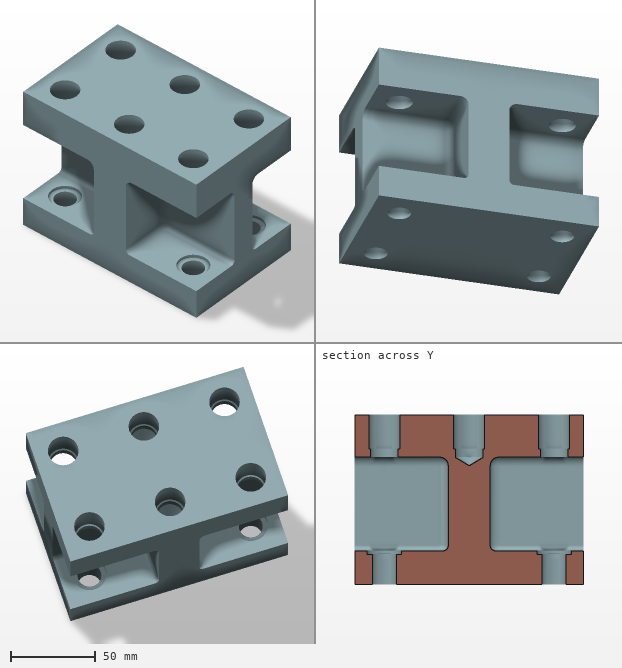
import cadquery as cq
import math

LENGTH = 135.0
WIDTH = 85.0
HEIGHT = 100.0

BASE_THICKNESS = 20.0
TOP_THICKNESS = 25.0
CROSS_WEB_THICKNESS = 25.0
LONG_WEB_THICKNESS = 16.0
POCKET_RADIUS = 5.0
FLOOR_RADIUS = 3.0

HOLE_SPACING_X = 50.0
HOLE_SPACING_Y = 50.0

THREAD_DIAMETER = 18.0
THREAD_DEPTH = 20.0
DRILL_DIAMETER = 16.0
DRILL_DEPTH = TOP_THICKNESS
DRILL_POINT_ANGLE = 118.0

BOLT_DIAMETER = 14.0
COUNTERBORE_DIAMETER = 20.0
COUNTERBORE_DEPTH = 2.0

FLOOR_Z = BASE_THICKNESS
CEILING_Z = HEIGHT - TOP_THICKNESS
SIDES = (-1, 1)
ROWS_Y = [side * HOLE_SPACING_Y / 2 for side in SIDES]
OUTER_COLUMNS_X = [side * HOLE_SPACING_X for side in SIDES]


def corner_pocket():
    """Cutter for the +X +Y pocket; it runs past the block so only its inner edges are rounded."""
    return (
        cq.Workplane("XY")
        .box(LENGTH, WIDTH, CEILING_Z - FLOOR_Z, centered=False)
        .edges("|Z or >Z")
        .fillet(POCKET_RADIUS)
        .faces("<Z")
        .edges()
        .fillet(FLOOR_RADIUS)
        .translate((CROSS_WEB_THICKNESS / 2, LONG_WEB_THICKNESS / 2, FLOOR_Z))
    )


def threaded_hole():
    """Cutter for a threaded hole entering at Z = 0 and going down to a conical drill point."""
    thread_radius = THREAD_DIAMETER / 2
    drill_radius = DRILL_DIAMETER / 2
    point_height = drill_radius / math.tan(math.radians(DRILL_POINT_ANGLE / 2))
    return (
        cq.Workplane("XZ")
        .moveTo(0, 0)
        .lineTo(thread_radius, 0)
        .lineTo(thread_radius, -THREAD_DEPTH)
        .lineTo(drill_radius, -THREAD_DEPTH)
        .lineTo(drill_radius, -DRILL_DEPTH)
        .lineTo(0, -DRILL_DEPTH - point_height)
        .close()
        .revolve(360, (0, 0, 0), (0, 1, 0))
    )


def bolt_hole():
    """Cutter for a through hole in the base flange, counterbored from the pocket floor."""
    bore = cq.Workplane("XY").circle(BOLT_DIAMETER / 2).extrude(BASE_THICKNESS)
    counterbore = (
        cq.Workplane("XY", origin=(0, 0, FLOOR_Z - COUNTERBORE_DEPTH))
        .circle(COUNTERBORE_DIAMETER / 2)
        .extrude(COUNTERBORE_DEPTH)
    )
    return bore.union(counterbore)


result = cq.Workplane("XY").box(LENGTH, WIDTH, HEIGHT, centered=(True, True, False))

first_pocket = corner_pocket()
pocket_pair = first_pocket.union(first_pocket.mirror("YZ"))
result = result.cut(pocket_pair).cut(pocket_pair.mirror("XZ"))

for y in ROWS_Y:
    for x in [0, *OUTER_COLUMNS_X]:
        result = result.cut(threaded_hole().translate((x, y, HEIGHT)))
    for x in OUTER_COLUMNS_X:
        result = result.cut(bolt_hole().translate((x, y, 0)))